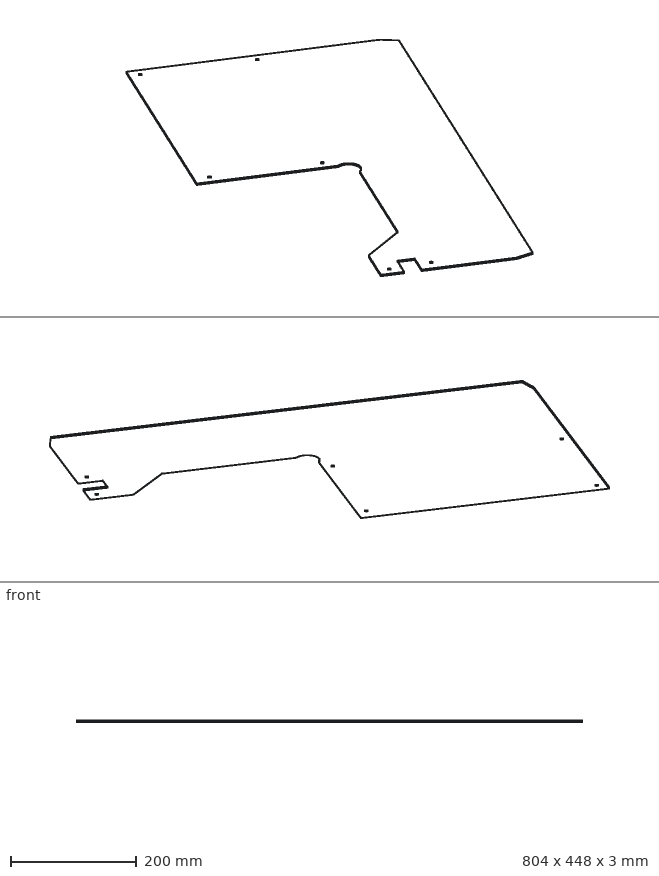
import cadquery as cq
import math

length = 804.0
width = 448.0
thickness = 3.0

corner_cut_x = 10.5
corner_cut_y = 30.0

panel_length = 412.5
arm_front_y = 261.0

relief_radius = 20.0
relief_center_x = panel_length + 15.0
relief_center_y = arm_front_y - 14.5

foot_drop = 67.5
foot_length = 71.5
foot_front_y = arm_front_y - foot_drop
foot_inner_x = length - foot_length

slot_depth = 41.0
slot_width = 29.0

hole_diameter = 5.0
left_hole_x = 15.0
panel_hole_x = panel_length - 17.0
hole_row_y = 212.0
hole_positions = [
    (left_hole_x, 18.5),
    (left_hole_x, hole_row_y),
    (panel_hole_x, 26.0),
    (panel_hole_x, hole_row_y),
    (length - 16.0, hole_row_y),
    (length - 21.0, 283.0),
]


def make_plate():
    """Extrude the outline, with the relief arc joining the panel and the arm."""
    panel_offset = relief_center_x - panel_length
    arm_offset = arm_front_y - relief_center_y
    relief_start_y = relief_center_y - math.sqrt(relief_radius**2 - panel_offset**2)
    relief_end_x = relief_center_x + math.sqrt(relief_radius**2 - arm_offset**2)
    diagonal = relief_radius * math.sqrt(0.5)

    return (
        cq.Workplane("XY")
        .lineTo(panel_length, 0)
        .lineTo(panel_length, relief_start_y)
        .threePointArc(
            (relief_center_x - diagonal, relief_center_y + diagonal),
            (relief_end_x, arm_front_y),
        )
        .lineTo(foot_inner_x - foot_drop, arm_front_y)
        .lineTo(foot_inner_x, foot_front_y)
        .lineTo(length, foot_front_y)
        .lineTo(length, arm_front_y - slot_width)
        .lineTo(length - slot_depth, arm_front_y - slot_width)
        .lineTo(length - slot_depth, arm_front_y)
        .lineTo(length, arm_front_y)
        .lineTo(length, width - corner_cut_y)
        .lineTo(length - corner_cut_x, width)
        .lineTo(corner_cut_x, width)
        .lineTo(0, width - corner_cut_y)
        .close()
        .extrude(thickness)
    )


def make_holes():
    """Cylinders that pass through the full plate thickness."""
    return (
        cq.Workplane("XY")
        .pushPoints(hole_positions)
        .circle(hole_diameter / 2)
        .extrude(thickness)
    )


result = make_plate().cut(make_holes())